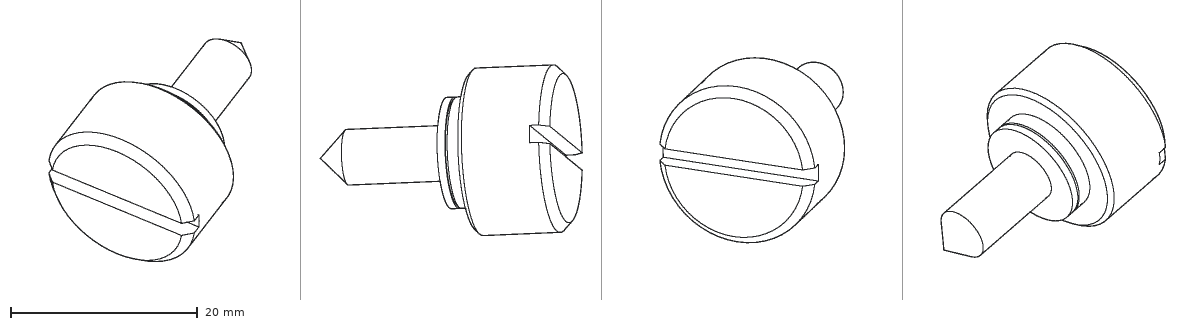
import cadquery as cq

total_length = 27.0
head_diameter = 18.0
head_length = 10.0
front_chamfer = 1.0
back_chamfer = 0.5
slot_width = 1.9
slot_depth = 2.0

collar_diameter = 12.0
collar_length = 1.97
collar_chamfer = 0.25
ring_thickness = 0.86

shank_diameter = 6.0
tip_length = shank_diameter / 2

head_radius = head_diameter / 2
collar_radius = collar_diameter / 2
shank_radius = shank_diameter / 2


def make_screw():
    """Slotted head, collar and pointed shank, turned about the Y axis with the head front at Y = 0."""
    collar_end = head_length + collar_length
    profile = [
        (0, 0),
        (head_radius - front_chamfer, 0),
        (head_radius, front_chamfer),
        (head_radius, head_length - back_chamfer),
        (head_radius - back_chamfer, head_length),
        (collar_radius, head_length),
        (collar_radius, collar_end - collar_chamfer),
        (collar_radius - collar_chamfer, collar_end),
        (shank_radius, collar_end),
        (shank_radius, total_length - tip_length),
        (0, total_length),
    ]
    turned = cq.Workplane("XY").polyline(profile).close().revolve(360, (0, 0, 0), (0, 1, 0))
    slot = cq.Workplane("XY").box(head_diameter, slot_depth, slot_width, centered=(True, False, True))
    return turned.cut(slot)


def make_ring():
    """Plain ring around the shank, resting on the end of the collar."""
    ring_end = head_length + collar_length + ring_thickness
    face = cq.Workplane("XZ", origin=(0, ring_end, 0))
    return face.circle(collar_radius).circle(shank_radius).extrude(ring_thickness)


screw = make_screw()
ring = make_ring()

result = cq.Compound.makeCompound([screw.val(), ring.val()])